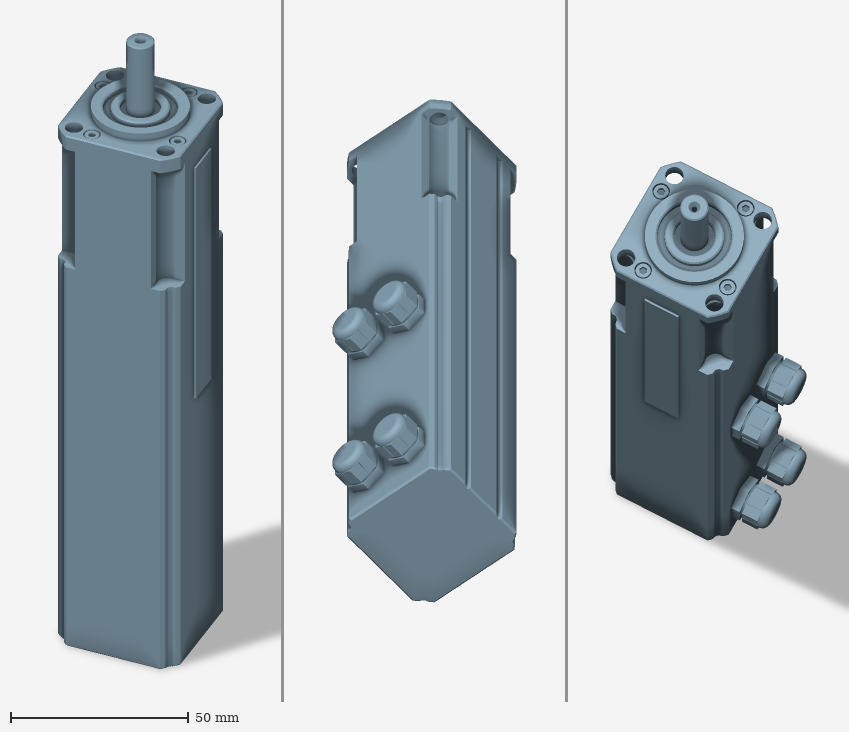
import cadquery as cq
import math

TOTAL_HEIGHT = 199.5
PILOT_TOP = 177.2
FLANGE_TOP = 174.5
FLANGE_BOTTOM = 170.0
POCKET_BOTTOM = 129.7

BODY_WIDTH = 38.0
HALF_WIDTH = BODY_WIDTH / 2
CORNER_FLAT = 4.4
BOTTOM_CHAMFER = 0.5

FLANGE_CORNER_RADIUS = 24.0
FLANGE_EDGE_CHAMFER = 0.4
MOUNT_HOLE_OFFSET = 14.2
MOUNT_HOLE_DIAMETER = 5.2

POCKET_MOUTH = 7.2
POCKET_ARC_NEAR = 3.0
POCKET_ARC_FAR = 7.0
POCKET_ARC_MIDDLE = 6.2

CORNER_GROOVE = (3.2, 1.2, 0.8)
SIDE_GROOVE = (2.5, 1.2, 1.0)
SIDE_GROOVE_OFFSET = 7.0

SCREW_NEAR = 8.2
SCREW_FAR = 15.2
SCREW_BORE_DIAMETER = 5.0
SCREW_BORE_DEPTH = 2.4
SCREW_HEAD_DIAMETER = 4.2
SCREW_HEAD_HEIGHT = 2.2
SCREW_SOCKET_SIZE = 2.4
SCREW_SOCKET_DEPTH = 1.2

PILOT_RADIUS = 14.0
RECESS_RADIUS = 10.5
RECESS_DEPTH = 2.0
SEAL_RADIUS = 8.4
SEAL_BORE_RADIUS = 5.8
SEAL_BORE_DEPTH = 1.5
SEAL_CHAMFER = 0.4

SHAFT_RADIUS = 4.0
SHAFT_CHAMFER = 0.4
CENTRE_HOLE_DIAMETER = 1.5
CENTRE_HOLE_MOUTH = 3.4
CENTRE_HOLE_ANGLE = 60
CENTRE_HOLE_DEPTH = 6.0

PLATE_THICKNESS = 0.5
PLATE_WIDTH = 10.8
PLATE_BOTTOM = 85.8
PLATE_TOP = 164.5

GLAND_X_OFFSET = 7.4
GLAND_HEIGHTS = (14.5, 77.5)
GLAND_LENGTH = 10.8
GLAND_ACROSS_FLATS = 11.2
GLAND_BASE_LENGTH = 2.5
GLAND_NECK_LENGTH = 0.8
GLAND_NECK_RADIUS = 5.2
GLAND_DOME_LENGTH = 2.4
GLAND_DOME_FILLET = 2.0
GLAND_SLIT_WIDTH = 0.4
GLAND_SLIT_DEPTH = 0.2


def cylinder(radius, bottom, top):
    """Upright cylinder on the Z axis."""
    return cq.Workplane("XY").workplane(offset=bottom).circle(radius).extrude(top - bottom)


def quarter_turns(shape):
    """The shape repeated at four quarter turns about the shaft axis."""
    return [shape.rotate((0, 0, 0), (0, 0, 1), 90 * turn) for turn in range(4)]


def groove_cutter(face_distance, sideways, size):
    """Tapered groove running up the housing in a face that looks toward +X."""
    mouth, floor, depth = size
    outline = [
        (face_distance, sideways - mouth / 2),
        (face_distance - depth, sideways - floor / 2),
        (face_distance - depth, sideways + floor / 2),
        (face_distance, sideways + mouth / 2),
    ]
    return cq.Workplane("XY").polyline(outline).close().extrude(FLANGE_BOTTOM)


def corner_pocket():
    """Round-backed pocket in the +X +Y corner, giving room for a mounting bolt."""
    def inward(x_distance, y_distance):
        return (HALF_WIDTH - x_distance, HALF_WIDTH - y_distance)

    return (
        cq.Workplane("XY").workplane(offset=POCKET_BOTTOM)
        .moveTo(*inward(0, 0))
        .lineTo(*inward(POCKET_MOUTH, 0))
        .lineTo(*inward(POCKET_ARC_FAR, POCKET_ARC_NEAR))
        .threePointArc(
            inward(POCKET_ARC_MIDDLE, POCKET_ARC_MIDDLE),
            inward(POCKET_ARC_NEAR, POCKET_ARC_FAR),
        )
        .lineTo(*inward(0, POCKET_MOUTH))
        .close()
        .extrude(FLANGE_BOTTOM - POCKET_BOTTOM)
    )


def make_housing():
    housing = (
        cq.Workplane("XY").rect(BODY_WIDTH, BODY_WIDTH).extrude(FLANGE_BOTTOM)
        .edges("|Z").chamfer(CORNER_FLAT)
        .faces("<Z").edges().chamfer(BOTTOM_CHAMFER)
    )
    corner_face_distance = (BODY_WIDTH - CORNER_FLAT) / math.sqrt(2)
    corner_groove = groove_cutter(corner_face_distance, 0, CORNER_GROOVE).rotate((0, 0, 0), (0, 0, 1), 45)
    for cutter in quarter_turns(corner_groove) + quarter_turns(corner_pocket()):
        housing = housing.cut(cutter)
    for sideways in (-SIDE_GROOVE_OFFSET, SIDE_GROOVE_OFFSET):
        side_groove = groove_cutter(HALF_WIDTH, sideways, SIDE_GROOVE)
        housing = housing.cut(side_groove.rotate((0, 0, 0), (0, 0, 1), 180))
    return housing


def make_flange():
    hole_spacing = 2 * MOUNT_HOLE_OFFSET
    flange = (
        cq.Workplane("XY").workplane(offset=FLANGE_BOTTOM)
        .rect(BODY_WIDTH, BODY_WIDTH).extrude(FLANGE_TOP - FLANGE_BOTTOM)
        .intersect(cylinder(FLANGE_CORNER_RADIUS, FLANGE_BOTTOM, FLANGE_TOP))
        .faces(">Z").edges().chamfer(FLANGE_EDGE_CHAMFER)
        .faces(">Z").workplane(origin=(0, 0, FLANGE_TOP))
        .rect(hole_spacing, hole_spacing, forConstruction=True).vertices().hole(MOUNT_HOLE_DIAMETER)
    )
    bore = (
        cq.Workplane("XY").workplane(offset=FLANGE_TOP - SCREW_BORE_DEPTH)
        .center(SCREW_NEAR, SCREW_FAR).circle(SCREW_BORE_DIAMETER / 2).extrude(SCREW_BORE_DEPTH)
    )
    screw_head = (
        cq.Workplane("XY").workplane(offset=FLANGE_TOP - SCREW_BORE_DEPTH)
        .center(SCREW_NEAR, SCREW_FAR).circle(SCREW_HEAD_DIAMETER / 2).extrude(SCREW_HEAD_HEIGHT)
        .faces(">Z").workplane().polygon(6, SCREW_SOCKET_SIZE).cutBlind(-SCREW_SOCKET_DEPTH)
    )
    for cutter in quarter_turns(bore):
        flange = flange.cut(cutter)
    for head in quarter_turns(screw_head):
        flange = flange.union(head)
    return flange


def make_pilot_and_shaft():
    recess_floor = PILOT_TOP - RECESS_DEPTH
    recess = cylinder(RECESS_RADIUS, recess_floor, PILOT_TOP)
    pilot = cylinder(PILOT_RADIUS, FLANGE_TOP, PILOT_TOP).cut(recess)
    pilot = pilot.edges(cq.selectors.RadiusNthSelector(0)).edges(">Z").chamfer(SEAL_CHAMFER)
    seal = (
        cylinder(SEAL_RADIUS, recess_floor, PILOT_TOP)
        .cut(cylinder(SEAL_BORE_RADIUS, PILOT_TOP - SEAL_BORE_DEPTH, PILOT_TOP))
        .faces(">Z").edges().chamfer(SEAL_CHAMFER)
    )
    shaft = (
        cylinder(SHAFT_RADIUS, FLANGE_TOP, TOTAL_HEIGHT)
        .faces(">Z").edges().chamfer(SHAFT_CHAMFER)
        .faces(">Z").workplane()
        .cskHole(CENTRE_HOLE_DIAMETER, CENTRE_HOLE_MOUTH, CENTRE_HOLE_ANGLE, CENTRE_HOLE_DEPTH)
    )
    return pilot.union(seal).union(shaft)


def make_cover_plate():
    return (
        cq.Workplane("YZ").workplane(offset=HALF_WIDTH)
        .center(0, (PLATE_BOTTOM + PLATE_TOP) / 2)
        .rect(PLATE_WIDTH, PLATE_TOP - PLATE_BOTTOM).extrude(PLATE_THICKNESS)
    )


def hexagon(bottom, top):
    """Upright hexagonal bar with two of its corners on the X axis."""
    corner_diameter = GLAND_ACROSS_FLATS / math.cos(math.pi / 6)
    return cq.Workplane("XY").workplane(offset=bottom).polygon(6, corner_diameter).extrude(top - bottom)


def make_gland():
    """Cable gland standing on the origin: hexagonal base, neck, and slotted cap nut with a domed end."""
    nut_bottom = GLAND_BASE_LENGTH + GLAND_NECK_LENGTH
    nut_top = GLAND_LENGTH - GLAND_DOME_LENGTH
    flat_distance = GLAND_ACROSS_FLATS / 2
    neck = cylinder(GLAND_NECK_RADIUS, GLAND_BASE_LENGTH, nut_bottom)
    dome = cylinder(flat_distance, nut_top, GLAND_LENGTH).faces(">Z").edges().fillet(GLAND_DOME_FILLET)
    nut = hexagon(nut_bottom, nut_top)
    slit = (
        cq.Workplane("XY").workplane(offset=nut_bottom)
        .center(0, flat_distance).rect(GLAND_SLIT_WIDTH, 2 * GLAND_SLIT_DEPTH)
        .extrude(nut_top - nut_bottom)
    )
    for side in range(6):
        nut = nut.cut(slit.rotate((0, 0, 0), (0, 0, 1), 60 * side))
    return hexagon(0, GLAND_BASE_LENGTH).union(neck).union(nut).union(dome)


result = make_housing().union(make_flange()).union(make_pilot_and_shaft()).union(make_cover_plate())

gland = make_gland().rotate((0, 0, 0), (0, 0, 1), 90).rotate((0, 0, 0), (1, 0, 0), -90)
for gland_height in GLAND_HEIGHTS:
    for gland_x in (-GLAND_X_OFFSET, GLAND_X_OFFSET):
        result = result.union(gland.translate((gland_x, HALF_WIDTH, gland_height)))